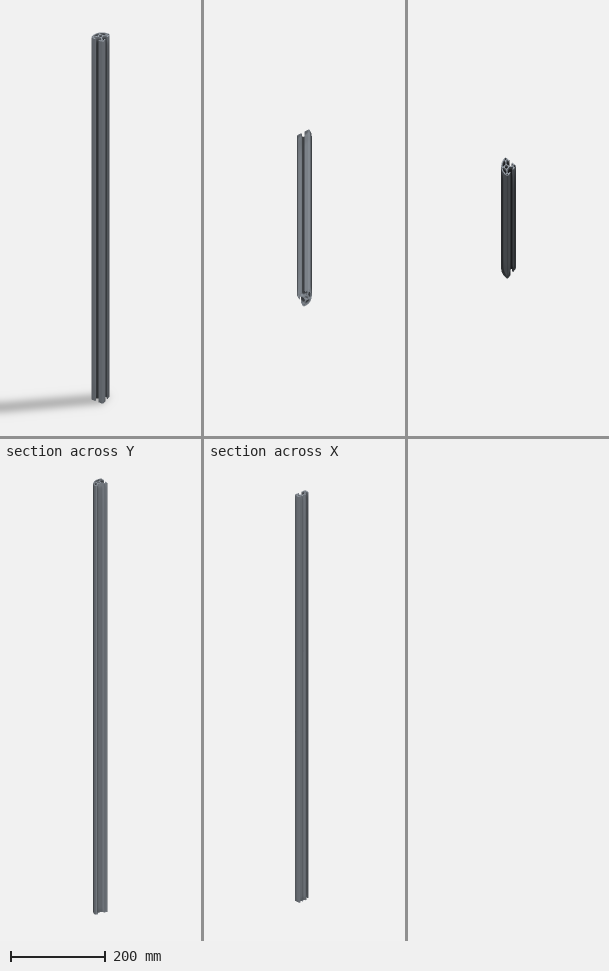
import cadquery as cq
import math

side = 30.0
length = 1000.0
round_flat = 5.0
corner_radius = 3.0
round_wall = 2.3

core_half = 5.2
web_thickness = 2.4
core_bore_diameter = 6.8
corner_bore_diameter = 4.0

slot_opening = 8.2
slot_lip = 2.5
cavity_width = 16.5

half = side / 2
arc_radius = side - round_flat
arc_center = half - round_flat
corner_center = half - corner_radius
rounded_corners = ((-1, -1), (1, -1), (1, 1))
web_offset = web_thickness / math.sqrt(2)
floor_half = core_half - web_offset
cavity_half = cavity_width / 2
shoulder = cavity_half + web_offset


def across_diagonal(solid):
    """Mirror about the line y = -x, which swaps the two slotted faces."""
    return solid.mirror("YZ").rotate((0, 0, 0), (0, 0, 1), 90)


def cylinder(x, y, radius):
    return cq.Workplane("XY").center(x, y).circle(radius).extrude(length)


def quarter_round_bar():
    reach = arc_radius * math.sqrt(0.5)
    bar = (
        cq.Workplane("XY")
        .moveTo(-half, -half)
        .lineTo(half, -half)
        .lineTo(half, half)
        .lineTo(arc_center, half)
        .threePointArc((arc_center - reach, reach - arc_center), (-half, -arc_center))
        .close()
        .extrude(length)
    )
    for x, y in rounded_corners:
        corner = cq.selectors.NearestToPointSelector((x * half, y * half, length / 2))
        bar = bar.edges(corner).fillet(corner_radius)
    return bar


def t_slot():
    """T-slot open toward -Y, narrowing along the webs to its floor on the core."""
    right_side = [
        (slot_opening / 2, -half),
        (slot_opening / 2, -half + slot_lip),
        (cavity_half, -half + slot_lip),
        (cavity_half, -shoulder),
        (floor_half, -core_half),
    ]
    left_side = [(-x, y) for x, y in reversed(right_side)]
    return cq.Workplane("XY").polyline(right_side + left_side).close().extrude(length)


def chamber():
    """Hollow on the -X side, between the core, two webs and the round wall."""
    outline = [
        (-core_half, floor_half),
        (-core_half, -floor_half),
        (-shoulder, -cavity_half),
        (-half, -cavity_half),
        (-half, half - web_offset),
    ]
    prism = cq.Workplane("XY").polyline(outline).close().extrude(length)
    return prism.intersect(cylinder(arc_center, -arc_center, arc_radius - round_wall))


result = quarter_round_bar()
for void in (t_slot(), chamber()):
    result = result.cut(void).cut(across_diagonal(void))
result = result.cut(cylinder(0, 0, core_bore_diameter / 2))
for x, y in rounded_corners:
    result = result.cut(cylinder(x * corner_center, y * corner_center, corner_bore_diameter / 2))